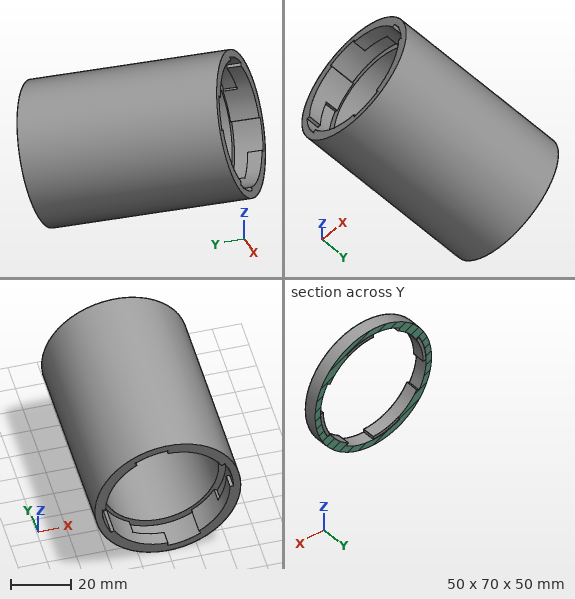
import cadquery as cq
import math

length = 70.0
outer_radius = 25.0
bore_radius = 20.0

socket_radius = 21.3
slot_radius = 22.5
socket_depth = 10.0
lock_depth = socket_depth / 2
slot_count = 4
slot_pitch = 360 / slot_count
entry_angle = 30.0
lock_angle = 30.0


def rod(radius, depth):
    """Cylinder along +Y, starting at the socket end face."""
    return cq.Workplane("XZ", origin=(0, -length / 2, 0)).circle(radius).extrude(-depth)


def slot_sector(start_angle, end_angle, start_depth):
    """Sector from the axis to the slot wall, reaching from start_depth to the socket floor."""

    def rim_point(angle):
        radians = math.radians(angle)
        return slot_radius * math.cos(radians), slot_radius * math.sin(radians)

    return (
        cq.Workplane("XZ", origin=(0, start_depth - length / 2, 0))
        .lineTo(*rim_point(start_angle))
        .threePointArc(rim_point((start_angle + end_angle) / 2), rim_point(end_angle))
        .close()
        .extrude(start_depth - socket_depth)
    )


result = rod(outer_radius, length).cut(rod(bore_radius, length)).cut(rod(socket_radius, socket_depth))

for index in range(slot_count):
    entry_start = index * slot_pitch
    entry = slot_sector(entry_start, entry_start + entry_angle, 0)
    lock = slot_sector(entry_start - lock_angle, entry_start + entry_angle, lock_depth)
    result = result.cut(entry).cut(lock)